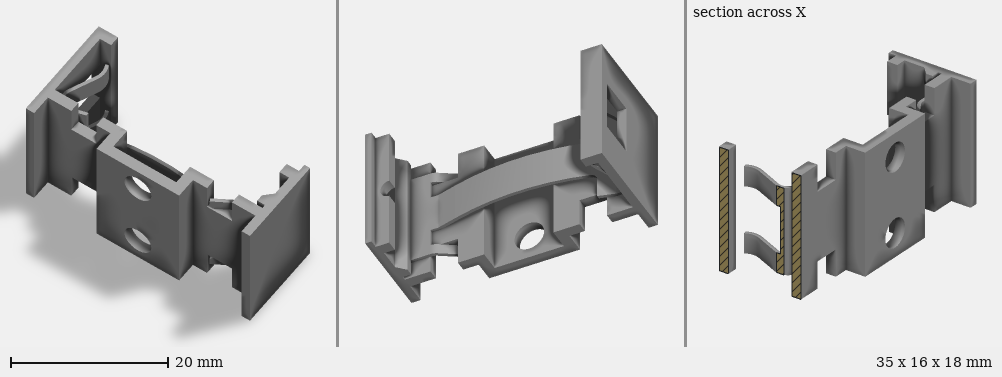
import cadquery as cq
import math

LENGTH = 35.02
DEPTH = 16.02
HEIGHT = 18.02
HALF_LENGTH = LENGTH / 2

SIDE_WALL = 1.3
PLATE = 1.53
WEB_BOTTOM = 3.03
WEB_TOP = WEB_BOTTOM + PLATE
CHANNEL_WIDTH = 12.9
LEFT_HOOK_REACH = 3.03
RIGHT_WALL_DEPTH = 13.25
RIGHT_WALL_LIP = 0.9
RIGHT_HOOK_REACH = 2.82
RIGHT_HOOK_BOTTOM = 10.45
RIGHT_HOOK_TOP = 12.05

BLOCK_REACH = 2.5
BLOCK_BOTTOM = WEB_TOP + 0.55
BLOCK_CHAMFER = BLOCK_REACH - SIDE_WALL
BLOCK_TOP = 7.35

WINDOW_BOTTOM = 9.0
WINDOW_TOP = DEPTH - PLATE
WINDOW_HEIGHT = 7.05
HOLE_DIAMETER = 4.2
HOLE_SPACING = 11.0
NOTCH_OUTER = 12.55
NOTCH_LENGTH = 3.9
NOTCH_DEPTH = 3.95
HOOK_NOTCH_RADIUS = 1.25

SHEET = 0.5
BEND_OVERLAP = 0.04
FLAT_BOTTOM = WEB_TOP + 0.07
SPRING_SLOPE = 15.0
ARM_LEAN = 66.0
LOWER_BEND = 1.6
UPPER_BEND = 2.65
ARM_LENGTH = 4.23
ARM_SIDE = ARM_LEAN + 90
TIP_SWEEP = 55.0
TIP_ANGLE = ARM_SIDE - 180 + TIP_SWEEP
ARCH_RADIUS = 37.25
ARCH_APEX_X = -1.33
SPRING_END_X = 16.05

STRIP_HALF_WIDTH = 2.7
ARM_INNER = 3.4
ARM_OUTER = 6.33
ARM_BASE_END_X = -11.72
ARM_FILLET = 0.87
TIP_ROUND = 0.3
FLAT_HALF_WIDTH = 6.66
FLAT_START_X = 12.28

TAB_WIDTH = 1.5
TAB_ANGLE = 31.0
TAB_BEND = 1.2
TAB_LENGTH = 2.95
TAB_CHAMFER = 0.45


def polar(centre, radius, angle):
    """Point at the given distance and angle (degrees) from a centre."""
    turn = math.radians(angle)
    return (centre[0] + radius * math.cos(turn), centre[1] + radius * math.sin(turn))


def extrude_along_z(section, z_low, z_high):
    """Extrude a closed XY section between two Z levels."""
    return section.extrude(z_high - z_low).translate((0, 0, z_low))


def box(x_range, y_range, z_range):
    """Axis-aligned box from its (low, high) limits."""
    sizes = [high - low for low, high in (x_range, y_range, z_range)]
    return cq.Workplane("XY").box(*sizes, centered=False).translate((x_range[0], y_range[0], z_range[0]))


def make_frame():
    """Extruded section: hooked side walls joined by a web with a central channel."""
    left_inner = -HALF_LENGTH + SIDE_WALL
    right_inner = HALF_LENGTH - SIDE_WALL
    channel_outer = CHANNEL_WIDTH / 2
    channel_inner = channel_outer - PLATE
    section = cq.Workplane("XY").polyline([
        (-HALF_LENGTH, 0),
        (left_inner, 0),
        (left_inner, WEB_BOTTOM),
        (-channel_outer, WEB_BOTTOM),
        (-channel_outer, 0),
        (channel_outer, 0),
        (channel_outer, WEB_BOTTOM),
        (right_inner, WEB_BOTTOM),
        (right_inner, 0),
        (HALF_LENGTH, 0),
        (HALF_LENGTH, RIGHT_WALL_DEPTH),
        (HALF_LENGTH - RIGHT_WALL_LIP, RIGHT_WALL_DEPTH),
        (HALF_LENGTH - RIGHT_WALL_LIP, RIGHT_HOOK_TOP),
        (HALF_LENGTH - RIGHT_HOOK_REACH, RIGHT_HOOK_TOP),
        (HALF_LENGTH - RIGHT_HOOK_REACH, RIGHT_HOOK_BOTTOM),
        (right_inner, RIGHT_HOOK_BOTTOM),
        (right_inner, BLOCK_TOP),
        (HALF_LENGTH - BLOCK_REACH, BLOCK_TOP - BLOCK_CHAMFER),
        (HALF_LENGTH - BLOCK_REACH, BLOCK_BOTTOM),
        (right_inner, BLOCK_BOTTOM),
        (right_inner, WEB_TOP),
        (channel_inner, WEB_TOP),
        (channel_inner, PLATE),
        (-channel_inner, PLATE),
        (-channel_inner, WEB_TOP),
        (left_inner, WEB_TOP),
        (left_inner, DEPTH - PLATE),
        (-HALF_LENGTH + LEFT_HOOK_REACH, DEPTH - PLATE),
        (-HALF_LENGTH + LEFT_HOOK_REACH, DEPTH),
        (-HALF_LENGTH, DEPTH),
    ]).close()
    return extrude_along_z(section, -HEIGHT / 2, HEIGHT / 2)


def cylinder_along_y(x, z, radius, y_low, y_high):
    """Cylinder parallel to Y."""
    return cq.Workplane("XZ").center(x, z).circle(radius).extrude(y_low - y_high).translate((0, y_low, 0))


def cut_openings(frame):
    """Cut the wall window, web notches, channel holes and hook notch."""
    half_window = WINDOW_HEIGHT / 2
    frame = frame.cut(box(
        (-HALF_LENGTH, -HALF_LENGTH + SIDE_WALL), (WINDOW_BOTTOM, WINDOW_TOP), (-half_window, half_window)))
    notch_floor = HEIGHT / 2 - NOTCH_DEPTH
    notch_inner = NOTCH_OUTER - NOTCH_LENGTH
    for x_range in ((-NOTCH_OUTER, -notch_inner), (notch_inner, NOTCH_OUTER)):
        for z_range in ((-HEIGHT / 2, -notch_floor), (notch_floor, HEIGHT / 2)):
            frame = frame.cut(box(x_range, (WEB_BOTTOM, WEB_TOP), z_range))
    for z in (-HOLE_SPACING / 2, HOLE_SPACING / 2):
        frame = frame.cut(cylinder_along_y(0, z, HOLE_DIAMETER / 2, 0, PLATE))
    hook_face = HALF_LENGTH - RIGHT_HOOK_REACH
    return frame.cut(cylinder_along_y(hook_face, 0, HOOK_NOTCH_RADIUS, RIGHT_HOOK_BOTTOM, RIGHT_HOOK_TOP))


def lower_bend_centre():
    """Centre of the bend between the arch and the arms."""
    outer = LOWER_BEND + SHEET / 2 - BEND_OVERLAP
    return (-HALF_LENGTH + SIDE_WALL + outer, WEB_TOP + outer)


def upper_bend_centre():
    """Centre of the bend that curls the arm tips back towards the wall."""
    arm_foot = polar(lower_bend_centre(), LOWER_BEND, ARM_SIDE)
    arm_top = polar(arm_foot, ARM_LENGTH, ARM_LEAN)
    return polar(arm_top, UPPER_BEND, ARM_SIDE)


def arm_tip_y():
    """Highest Y reached by the arm tips."""
    return polar(upper_bend_centre(), UPPER_BEND + SHEET / 2, TIP_ANGLE)[1]


def spring_section():
    """Sheet-thick XY section of the spring, from the arm tip to the flat end."""
    half = SHEET / 2
    lower = lower_bend_centre()
    upper = upper_bend_centre()
    upper_start = ARM_SIDE - 180
    upper_middle = (upper_start + TIP_ANGLE) / 2
    lower_end = 270 + SPRING_SLOPE

    arch_start_x = ARCH_APEX_X - ARCH_RADIUS * math.sin(math.radians(SPRING_SLOPE))
    run_start = polar(lower, LOWER_BEND, lower_end)
    run_length = (arch_start_x - run_start[0]) / math.cos(math.radians(SPRING_SLOPE))
    arch_start = polar(run_start, run_length, SPRING_SLOPE)
    arch = polar(arch_start, ARCH_RADIUS, SPRING_SLOPE - 90)
    arch_left = 90 + SPRING_SLOPE
    arch_right = 90 - SPRING_SLOPE

    def foot_point(arch_end, y):
        """Point at level y on the straight run leaving the right end of the arch."""
        drop = arch_end[1] - y
        return (arch_end[0] + drop / math.tan(math.radians(SPRING_SLOPE)), y)

    inner_arch = ARCH_RADIUS - half
    outer_arch = ARCH_RADIUS + half
    return (
        cq.Workplane("XY")
        .moveTo(*polar(upper, UPPER_BEND - half, TIP_ANGLE))
        .threePointArc(
            polar(upper, UPPER_BEND - half, upper_middle),
            polar(upper, UPPER_BEND - half, upper_start))
        .lineTo(*polar(lower, LOWER_BEND + half, ARM_SIDE))
        .threePointArc(
            polar(lower, LOWER_BEND + half, (ARM_SIDE + lower_end) / 2),
            polar(lower, LOWER_BEND + half, lower_end))
        .lineTo(*polar(arch, inner_arch, arch_left))
        .threePointArc(polar(arch, inner_arch, 90), polar(arch, inner_arch, arch_right))
        .lineTo(*foot_point(polar(arch, inner_arch, arch_right), FLAT_BOTTOM))
        .lineTo(SPRING_END_X, FLAT_BOTTOM)
        .lineTo(SPRING_END_X, FLAT_BOTTOM + SHEET)
        .lineTo(*foot_point(polar(arch, outer_arch, arch_right), FLAT_BOTTOM + SHEET))
        .lineTo(*polar(arch, outer_arch, arch_right))
        .threePointArc(polar(arch, outer_arch, 90), polar(arch, outer_arch, arch_left))
        .lineTo(*polar(lower, LOWER_BEND - half, lower_end))
        .threePointArc(
            polar(lower, LOWER_BEND - half, (ARM_SIDE + lower_end) / 2),
            polar(lower, LOWER_BEND - half, ARM_SIDE))
        .lineTo(*polar(upper, UPPER_BEND + half, upper_start))
        .threePointArc(
            polar(upper, UPPER_BEND + half, upper_middle),
            polar(upper, UPPER_BEND + half, TIP_ANGLE))
        .close()
    )


def strip_planform():
    """XZ outline of the sheet: wide arm base, narrow middle strip and wide flat end."""
    fillet_end_x = ARM_BASE_END_X + ARM_FILLET
    fillet_start_z = STRIP_HALF_WIDTH + ARM_FILLET
    fillet_centre = (fillet_end_x, fillet_start_z)
    outline = (
        cq.Workplane("XZ")
        .moveTo(-HALF_LENGTH, 0)
        .lineTo(-HALF_LENGTH, ARM_OUTER)
        .lineTo(ARM_BASE_END_X, ARM_OUTER)
        .lineTo(ARM_BASE_END_X, fillet_start_z)
        .threePointArc(polar(fillet_centre, ARM_FILLET, 225), (fillet_end_x, STRIP_HALF_WIDTH))
        .lineTo(FLAT_START_X, STRIP_HALF_WIDTH)
        .lineTo(FLAT_START_X, FLAT_HALF_WIDTH)
        .lineTo(SPRING_END_X, FLAT_HALF_WIDTH)
        .lineTo(SPRING_END_X, 0)
        .close()
    )
    half = outline.extrude(-DEPTH)
    return half.union(half.mirror("XY"))


def arm_envelope():
    """Envelope that splits the bent-up end into two arms with rounded tips."""
    fork_y = lower_bend_centre()[1]
    base = box((-HALF_LENGTH, HALF_LENGTH), (0, fork_y), (-FLAT_HALF_WIDTH, FLAT_HALF_WIDTH))
    strip = box((ARM_BASE_END_X, HALF_LENGTH), (0, DEPTH), (-FLAT_HALF_WIDTH, FLAT_HALF_WIDTH))
    envelope = base.union(strip)
    for z_range in ((-ARM_OUTER, -ARM_INNER), (ARM_INNER, ARM_OUTER)):
        arm = box((-HALF_LENGTH, ARM_BASE_END_X), (0, arm_tip_y()), z_range)
        envelope = envelope.union(arm.edges("|X and >Y").fillet(TIP_ROUND))
    return envelope


def make_tab(z_low):
    """Bent tab running down into the web notch from the flat end of the spring."""
    bend = (FLAT_START_X, FLAT_BOTTOM - TAB_BEND)
    top_radius = TAB_BEND + SHEET
    bend_end = 90 + TAB_ANGLE
    bend_middle = 90 + TAB_ANGLE / 2
    down_slope = 180 + TAB_ANGLE
    bottom_bend_end = polar(bend, TAB_BEND, bend_end)
    top_bend_end = polar(bend, top_radius, bend_end)
    section = (
        cq.Workplane("XY")
        .moveTo(SPRING_END_X, FLAT_BOTTOM)
        .lineTo(FLAT_START_X, FLAT_BOTTOM)
        .threePointArc(polar(bend, TAB_BEND, bend_middle), bottom_bend_end)
        .lineTo(*polar(bottom_bend_end, TAB_LENGTH, down_slope))
        .lineTo(*polar(top_bend_end, TAB_LENGTH, down_slope))
        .lineTo(*top_bend_end)
        .threePointArc(polar(bend, top_radius, bend_middle), (FLAT_START_X, FLAT_BOTTOM + SHEET))
        .lineTo(SPRING_END_X, FLAT_BOTTOM + SHEET)
        .close()
    )
    return extrude_along_z(section, z_low, z_low + TAB_WIDTH)


def make_tabs():
    """Mirrored pair of tabs, each with its inner tip corner chamfered."""
    tab = make_tab(FLAT_HALF_WIDTH - TAB_WIDTH)
    tab = tab.faces("<X").edges("<Z").chamfer(TAB_CHAMFER)
    return tab.union(tab.mirror("XY"))


def make_spring():
    """Leaf spring trimmed to its planform and arms, with the two bent tabs."""
    sheet = extrude_along_z(spring_section(), -FLAT_HALF_WIDTH, FLAT_HALF_WIDTH)
    return sheet.intersect(strip_planform()).intersect(arm_envelope()).union(make_tabs())


result = cut_openings(make_frame()).union(make_spring())